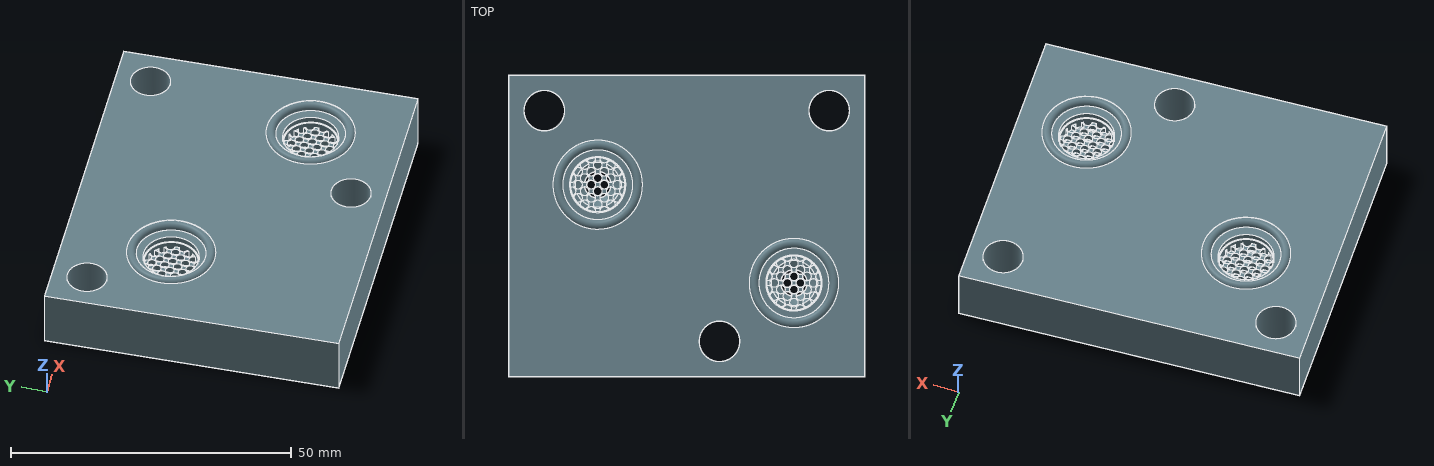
import cadquery as cq
import math

plate_x = 63.5
plate_y = 53.85
plate_z = 11.25

mount_dia = 7.2
mount_inset = 6.35
front_mount_x = 5.85
mount_x = plate_x / 2 - mount_inset
mount_y = plate_y / 2 - mount_inset
mount_places = [(-mount_x, mount_y), (mount_x, mount_y), (front_mount_x, -mount_y)]

port_spacing_x = 35.0
port_spacing_y = 17.5
left_port = (-15.9, 7.35)
right_port = (left_port[0] + port_spacing_x, left_port[1] - port_spacing_y)

ring_height = 0.65
ring_section_radius = 0.9
ring_mid_radius = 7.1
ring_center_z = plate_z + ring_height - ring_section_radius

seat_radius = 7.0
seat_z = ring_center_z - ring_section_radius

bore_radius = 5.0
cup_wall = 0.2
screen_thickness = 1.3
cup_rim_depth = 1.2
cup_height = 2.35
cup_inner_radius = bore_radius - cup_wall
bore_bottom_z = seat_z - cup_rim_depth - cup_height

perforation_dia = 1.5
perforation_spacing = 1.65
perforation_step = perforation_spacing / math.sqrt(2)
grid_reach = math.ceil(bore_radius / perforation_step)

funnel_radius = 4.0
funnel_slope = 31
outlet_radius = 2.35
funnel_depth = (funnel_radius - outlet_radius) * math.tan(math.radians(funnel_slope))


def sealing_ring():
    section = cq.Workplane("XZ").center(ring_mid_radius, ring_center_z).circle(ring_section_radius)
    return section.revolve(360, (-ring_mid_radius, 0), (-ring_mid_radius, 1))


def port_passage():
    """Open space of a port, as if it held no ring and no strainer."""
    profile = [
        (0, plate_z),
        (seat_radius, plate_z),
        (seat_radius, seat_z),
        (bore_radius, seat_z),
        (bore_radius, bore_bottom_z),
        (funnel_radius, bore_bottom_z),
        (outlet_radius, bore_bottom_z - funnel_depth),
        (outlet_radius, 0),
        (0, 0),
    ]
    return cq.Workplane("XZ").polyline(profile).close().revolve(360, (0, 0), (0, 1))


def perforations():
    reach = range(-grid_reach, grid_reach + 1)
    places = [
        (column * perforation_step, row * perforation_step)
        for column in reach
        for row in reach
        if (column + row) % 2 == 1
    ]
    holes = cq.Workplane("XY").pushPoints(places).circle(perforation_dia / 2).extrude(screen_thickness)
    return holes.intersect(cq.Workplane("XY").circle(cup_inner_radius).extrude(screen_thickness))


def strainer():
    cup = cq.Workplane("XY").circle(bore_radius).extrude(cup_height)
    inside = cq.Workplane("XY").circle(cup_inner_radius).extrude(cup_height)
    cup = cup.cut(inside.translate((0, 0, screen_thickness)))
    return cup.cut(perforations()).translate((0, 0, bore_bottom_z))


result = cq.Workplane("XY").box(plate_x, plate_y, plate_z, centered=(True, True, False))
result = result.cut(cq.Workplane("XY").pushPoints(mount_places).circle(mount_dia / 2).extrude(plate_z))
for port_x, port_y in (left_port, right_port):
    place = (port_x, port_y, 0)
    result = result.cut(port_passage().translate(place))
    result = result.union(sealing_ring().translate(place))
    result = result.union(strainer().translate(place))